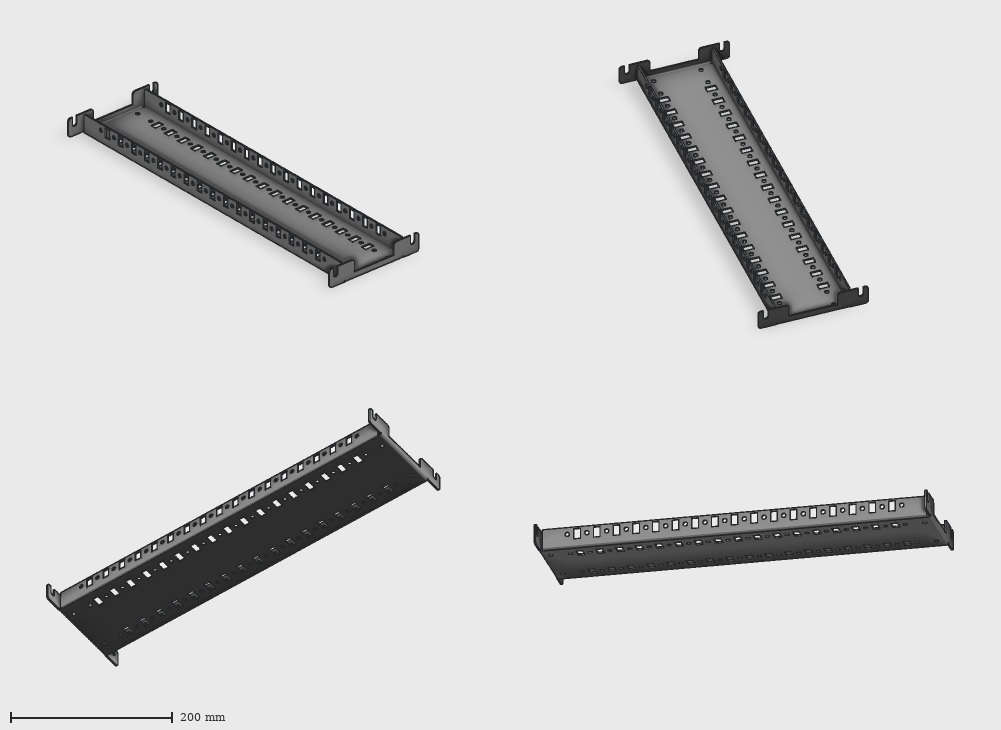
import cadquery as cq

length = 498.0
end_width = 145.0
height = 28.0

sheet = 2.0
inner_bend = 1.75
outer_bend = inner_bend + sheet

channel_width = 100.0
wall_length = 488.5
wall_corner = 2.0

end_bend_width = 96.0
ear_bottom = 1.5
ear_corner = 4.0
notch_width = 64.5
notch_floor = 10.0
ear_slot_spacing = 125.0
ear_slot_width = 7.0
ear_slot_depth = 13.5

wall_hole_count = 18
wall_hole_span = 425.0
pitch = wall_hole_span / (wall_hole_count - 1)
floor_hole_count = wall_hole_count + 2
window_count = wall_hole_count - 1
hole_diameter = 5.5
window_width = 8.5
window_height = 13.5
floor_row_spacing = 2.5 * pitch
wall_row_height = 19.0


def upright_block(size_x, size_y, bottom, top):
    """Box centred in X and Y that spans the given heights."""
    return (
        cq.Workplane("XY", origin=(0, 0, bottom))
        .rect(size_x, size_y)
        .extrude(top - bottom)
    )


def tray(size_x, size_y, bend_edges, top):
    """U-shaped strip of sheet whose two lower corners, along bend_edges, are rounded bends."""
    outer = upright_block(size_x, size_y, 0, top).edges(bend_edges).edges("<Z").fillet(outer_bend)
    across_x = bend_edges == "|Y"
    inner_x = size_x - 2 * sheet if across_x else size_x
    inner_y = size_y if across_x else size_y - 2 * sheet
    inner = upright_block(inner_x, inner_y, sheet, top).edges(bend_edges).edges("<Z").fillet(inner_bend)
    return outer.cut(inner)


def make_channel():
    """Floor and side walls; the free upper corners of the walls are rounded."""
    channel = tray(wall_length, channel_width, "|X", height)
    return channel.edges("|Y").edges(">Z").fillet(wall_corner)


def ear_slots():
    """Open-topped, round-bottomed slots through the ears at both ends."""
    radius = ear_slot_width / 2
    centre_height = height - ear_slot_depth + radius
    slots = cq.Workplane("YZ")
    for side in (-1, 1):
        centre_y = side * ear_slot_spacing / 2
        slots = (
            slots.moveTo(centre_y - radius, height)
            .lineTo(centre_y - radius, centre_height)
            .threePointArc((centre_y, centre_height - radius), (centre_y + radius, centre_height))
            .lineTo(centre_y + radius, height)
            .close()
        )
    return slots.extrude(length / 2, both=True)


def make_end_plates():
    """Flat plates at both ends, left open below where the bends join the floor."""
    profile = upright_block(length, end_width, ear_bottom, height).edges("|X").fillet(ear_corner)
    profile = profile.cut(upright_block(length, notch_width, notch_floor, height))
    notch_corners = cq.selectors.BoxSelector(
        (-length, -notch_width, notch_floor), (length, notch_width, 2 * height)
    )
    profile = profile.edges("|X and >Z").edges(notch_corners).fillet(ear_corner)
    plates = profile.cut(ear_slots())
    plates = plates.cut(upright_block(length - 2 * sheet, end_width, 0, height))
    return plates.cut(upright_block(length, end_bend_width, 0, outer_bend))


def hole_row(count, across):
    """Evenly pitched points centred along X at one cross position."""
    return [((i - (count - 1) / 2) * pitch, across) for i in range(count)]


def perforation(plane, hole_count, across, reach):
    """Cutter for one row of holes and windows, reaching equally to both sides of the plane."""
    holes = (
        cq.Workplane(plane)
        .pushPoints(hole_row(hole_count, across))
        .circle(hole_diameter / 2)
        .extrude(reach, both=True)
    )
    windows = (
        cq.Workplane(plane)
        .pushPoints(hole_row(window_count, across))
        .rect(window_width, window_height)
        .extrude(reach, both=True)
    )
    return holes.union(windows)


end_bends = tray(length, end_bend_width, "|Y", notch_floor)
body = make_channel().union(end_bends).union(make_end_plates())

body = body.cut(perforation("XZ", wall_hole_count, wall_row_height, channel_width))
for side in (-1, 1):
    body = body.cut(perforation("XY", floor_hole_count, side * floor_row_spacing / 2, sheet))

result = body